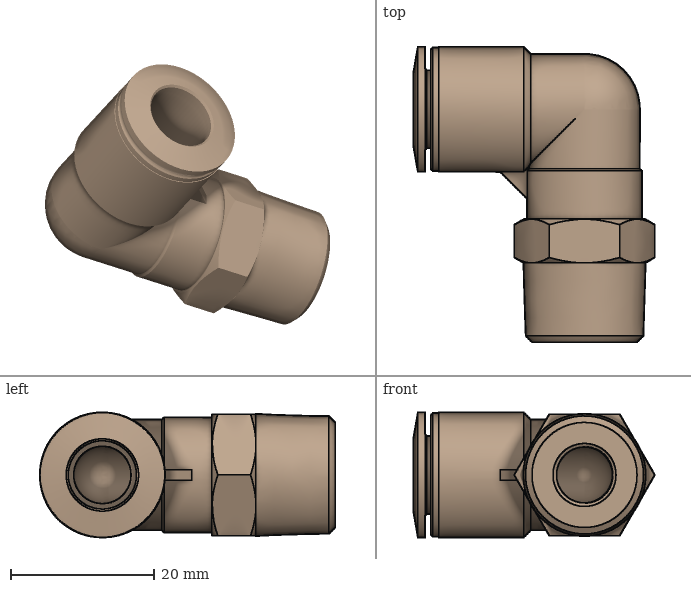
import cadquery as cq
import math


elbow_radius = 7.75

socket_radius = 8.75
socket_shoulder_x = -7.5
socket_shoulder_chamfer = socket_radius - elbow_radius
socket_rim_x = -20.3
socket_rim_step = 0.1
socket_mouth_x = -21.45
socket_mouth_chamfer = 0.3

collar_face_x = -23.905
collar_dish = 0.65
collar_back_x = -22.25
collar_neck_radius = 10.93 / 2
collar_neck_chamfer = 0.25

tube_radius = 9.53 / 2
tube_mouth_radius = 5.05
tube_mouth_depth = 0.3
tube_stop_x = -8.5
tube_bore_radius = 4.0
thread_bore_radius = 3.9
thread_bore_chamfer = 0.5

sleeve_radius = 8.05
sleeve_start_y = -8.3
hex_start_y = -15.25
hex_end_y = -21.4
hex_across_flats = 17.0
hex_sleeve_face_radius = 8.35
hex_thread_face_radius = 8.55
hex_chamfer_angle = 30
thread_end_y = -32.5
thread_start_radius = 8.55
thread_tip_chamfer = 0.9
thread_taper = 1 / 16

web_thickness = 1.5
web_reach = 20.5


def turned(points, axis_end):
    """Revolve a closed XY outline about the line from the origin to axis_end."""
    return cq.Workplane("XY").polyline(points).close().revolve(360, (0, 0), axis_end)


def about_x(outline):
    """Turn (x, radius) points about the tube axis."""
    return turned(outline, (1, 0))


def about_y(outline):
    """Turn (radius, y) points about the thread axis."""
    return turned(outline, (0, 1))


def make_elbow():
    """Two mitred cylinders joined round the outside by a sphere."""
    tube_leg = cq.Workplane("YZ").circle(elbow_radius).extrude(socket_shoulder_x)
    thread_leg = cq.Workplane("XZ").circle(elbow_radius).extrude(-sleeve_start_y)
    return cq.Workplane("XY").sphere(elbow_radius).union(tube_leg).union(thread_leg)


def make_socket():
    """Tube socket with the release collar on its mouth."""
    rim_radius = socket_radius - socket_rim_step
    return about_x([
        (socket_shoulder_x, 0),
        (socket_shoulder_x, elbow_radius),
        (socket_shoulder_x - socket_shoulder_chamfer, socket_radius),
        (socket_rim_x, socket_radius),
        (socket_rim_x, rim_radius),
        (socket_mouth_x + socket_mouth_chamfer, rim_radius),
        (socket_mouth_x, rim_radius - socket_mouth_chamfer),
        (socket_mouth_x, collar_neck_radius),
        (collar_back_x + collar_neck_chamfer, collar_neck_radius),
        (collar_back_x, collar_neck_radius + collar_neck_chamfer),
        (collar_back_x, socket_radius),
        (collar_face_x + collar_dish, socket_radius),
        (collar_face_x, tube_mouth_radius),
        (collar_face_x, 0),
    ])


def make_sleeve():
    """Round sleeve between the elbow and the hexagon."""
    edge_chamfer = sleeve_radius - elbow_radius
    return about_y([
        (0, sleeve_start_y),
        (elbow_radius, sleeve_start_y),
        (sleeve_radius, sleeve_start_y - edge_chamfer),
        (sleeve_radius, hex_start_y),
        (0, hex_start_y),
    ])


def make_hexagon():
    """Hexagon with corners on the X axis and both ends cut to a cone."""
    corner_radius = hex_across_flats / 2 / math.cos(math.pi / 6)
    slope = math.tan(math.radians(hex_chamfer_angle))
    sleeve_side_drop = (corner_radius - hex_sleeve_face_radius) * slope
    thread_side_drop = (corner_radius - hex_thread_face_radius) * slope
    prism = (
        cq.Workplane("XZ", origin=(0, hex_start_y, 0))
        .polygon(6, 2 * corner_radius)
        .extrude(hex_start_y - hex_end_y)
    )
    envelope = about_y([
        (0, hex_start_y),
        (hex_sleeve_face_radius, hex_start_y),
        (corner_radius, hex_start_y - sleeve_side_drop),
        (corner_radius, hex_end_y + thread_side_drop),
        (hex_thread_face_radius, hex_end_y),
        (0, hex_end_y),
    ])
    return prism.intersect(envelope)


def make_thread():
    """Plain taper body of the pipe thread."""
    taper_end_y = thread_end_y + thread_tip_chamfer
    taper_end_radius = thread_start_radius - (hex_end_y - taper_end_y) * thread_taper / 2
    return about_y([
        (0, hex_end_y),
        (thread_start_radius, hex_end_y),
        (taper_end_radius, taper_end_y),
        (taper_end_radius - thread_tip_chamfer, thread_end_y),
        (0, thread_end_y),
    ])


def make_web():
    """Thin triangular web in the inside corner, sloping at 45 degrees."""
    inner = elbow_radius - 1
    outline = [
        (-inner, -inner),
        (inner - web_reach, -inner),
        (-inner, inner - web_reach),
    ]
    return cq.Workplane("XY").polyline(outline).close().extrude(web_thickness / 2, both=True)


def make_tube_passage():
    """Tube hole stepping down to a bore with a round end."""
    bore = about_x([
        (collar_face_x, 0),
        (collar_face_x, tube_mouth_radius),
        (collar_face_x + tube_mouth_depth, tube_radius),
        (tube_stop_x, tube_radius),
        (tube_stop_x, tube_bore_radius),
        (0, tube_bore_radius),
        (0, 0),
    ])
    return bore.union(cq.Workplane("XY").sphere(tube_bore_radius))


def make_thread_passage():
    """Bore from the thread tip up to the tube passage, chamfered at its mouth."""
    return about_y([
        (0, 0),
        (thread_bore_radius, 0),
        (thread_bore_radius, thread_end_y + thread_bore_chamfer),
        (thread_bore_radius + thread_bore_chamfer, thread_end_y),
        (0, thread_end_y),
    ])


result = make_elbow()
for outer_part in (make_socket(), make_sleeve(), make_hexagon(), make_thread(), make_web()):
    result = result.union(outer_part)
for passage in (make_tube_passage(), make_thread_passage()):
    result = result.cut(passage)